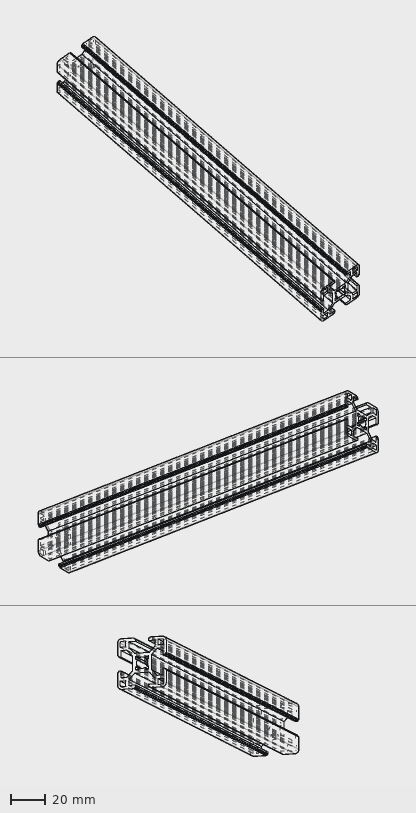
import cadquery as cq
import math

length = 230.0
side = 30.0
half_side = side / 2
corner_radius = 2.5

slot_opening = 8.0
slot_inner_width = 16.0
lip_thickness = 2.1
mouth_ledge_depth = 0.5
mouth_bevel = 0.5
mouth_ledge_width = 0.2
core_side = 11.7
rib_thickness = 2.0

channel_side = 3.4
channel_wall = 1.6
channel_radius = 1.0

bore_diameter = 6.8
lobe_square_side = 7.8
land_base_width = 4.6
land_top_width = 3.5
land_height = 1.6


def square_bar(width):
    """Full-length square bar centred on the X axis."""
    return cq.Workplane("YZ").rect(width, width).extrude(length / 2, both=True)


def on_four_sides(shape):
    """Yield the shape turned about the X axis onto each side of the bar."""
    for quarter in range(4):
        yield shape.rotate((0, 0, 0), (1, 0, 0), 90 * quarter)


def prism(points):
    """Extrude a closed (Y, Z) outline over the full length."""
    return cq.Workplane("YZ").polyline(points).close().extrude(length / 2, both=True)


def mirrored(right_points):
    """Complete an outline from its +Y half."""
    left_points = [(-y, z) for y, z in reversed(right_points)]
    return right_points + left_points


def top_slot():
    """T-slot opening towards +Z, with bevelled, ledged lips and a floor tapered by the ribs."""
    mouth = slot_opening / 2
    wall = slot_inner_width / 2
    ledge = half_side - mouth_ledge_depth
    ledge_end = mouth + mouth_bevel + mouth_ledge_width
    lip_underside = half_side - lip_thickness
    floor = core_side / 2
    rib_offset = rib_thickness / 2 * math.sqrt(2)
    return prism(mirrored([
        (ledge_end + mouth_ledge_depth, half_side),
        (ledge_end, ledge),
        (mouth + mouth_bevel, ledge),
        (mouth, ledge - mouth_bevel),
        (mouth, lip_underside),
        (wall, lip_underside),
        (wall, wall + rib_offset),
        (floor - rib_offset, floor),
    ]))


def corner_channel():
    """Square channel in the +Y +Z corner, rounded towards the outer corner of the bar."""
    centre = half_side - channel_wall - channel_side / 2
    channel = square_bar(channel_side).edges("|X and >Y and >Z").fillet(channel_radius)
    return channel.translate((0, centre, centre))


def bore_land():
    """Tapered land on the +Z wall, leaving only the corners of the square around the round bore."""
    root = lobe_square_side / 2
    return prism(mirrored([
        (land_base_width / 2, root),
        (land_top_width / 2, root - land_height),
    ]))


def central_bore():
    """Round bore with a lobe reaching into each corner of the core."""
    lobes = square_bar(lobe_square_side)
    for land in on_four_sides(bore_land()):
        lobes = lobes.cut(land)
    round_bore = cq.Workplane("YZ").circle(bore_diameter / 2).extrude(length / 2, both=True)
    return lobes.union(round_bore)


result = square_bar(side).edges("|X").fillet(corner_radius)
for slot in on_four_sides(top_slot()):
    result = result.cut(slot)
for channel in on_four_sides(corner_channel()):
    result = result.cut(channel)
result = result.cut(central_bore())